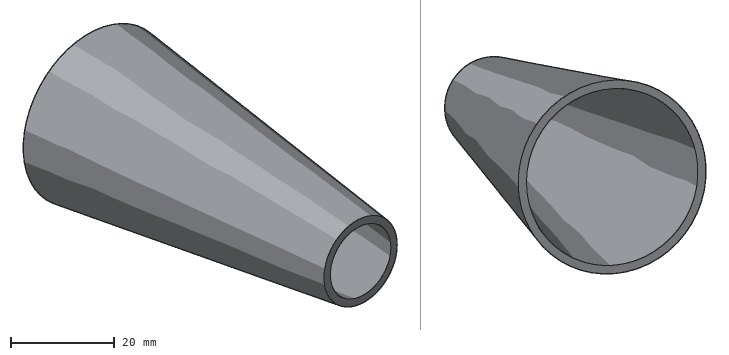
import cadquery as cq

length = 76.2
large_diameter = 38.1
small_diameter = 19.05
wall = 1.7

large_radius = large_diameter / 2
small_radius = small_diameter / 2


def cone_along_x(start_radius, end_radius):
    """Solid cone frustum centred on the X axis, from x = 0 to x = length."""
    profile = [(0, 0), (0, start_radius), (length, end_radius), (length, 0)]
    return cq.Workplane("XY").polyline(profile).close().revolve(360, (0, 0, 0), (1, 0, 0))


outside = cone_along_x(large_radius, small_radius)
bore = cone_along_x(large_radius - wall, small_radius - wall)
result = outside.cut(bore)